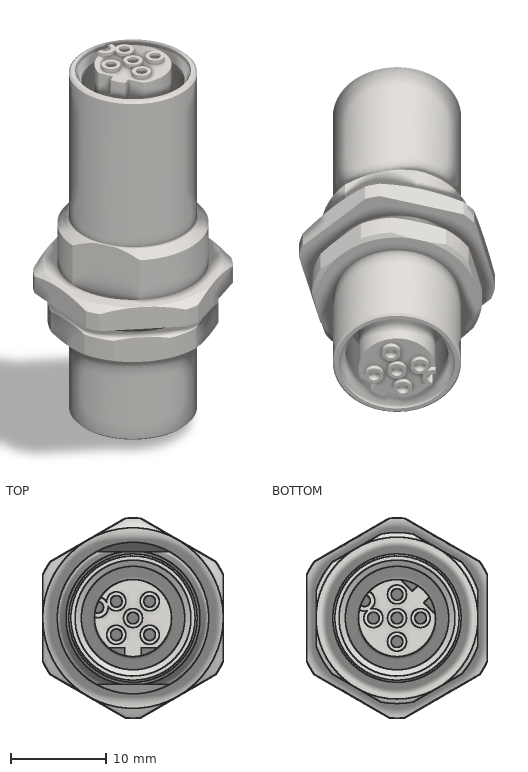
import cadquery as cq
import math

TOTAL_HEIGHT = 43.6
SOCKET_OVERHANG = 1.25
SLEEVE_BOTTOM = SOCKET_OVERHANG
SLEEVE_TOP = TOTAL_HEIGHT - SOCKET_OVERHANG
NUT_BOTTOM = 11.8
NUT_TOP = 14.8
FLANGE_BOTTOM = 16.4
FLANGE_TOP = 19.05
COLLAR_TOP = 24.75

SLEEVE_RADIUS = 13.5 / 2
SLEEVE_CHAMFER = 0.2
MOUTH_RADIUS = 12.2 / 2
MOUTH_DEPTH = 0.45
BORE_RADIUS = 10.9 / 2
CONE_DEPTH = MOUTH_RADIUS - BORE_RADIUS
RECESS_DEPTH = 7.85

INSERT_RADIUS = 8.1 / 2
FOOT_FILLET = 0.3
SOCKET_RISE = 0.52
LOWER_TURN = 45.0
SOCKET_RADIUS = 2.0 / 2
SOCKET_HOLE_RADIUS = 1.2 / 2
SOCKET_PITCH_RADIUS = 2.5
KEY_CENTRE_RADIUS = 3.9
KEY_ANGLE = 163.0
KEY_WALL_RADIUS = 1.1
TAB_WIDTH = 1.7
NOTCH_DISTANCE = 3.15

COLLAR_RADIUS = 15.95 / 2
COLLAR_CHAMFER = 0.9
COLLAR_ACROSS_FLATS = 13.95
RELIEF_DEPTH = COLLAR_RADIUS - COLLAR_ACROSS_FLATS / 2

SEAL_OUTER_RADIUS = COLLAR_RADIUS
SEAL_SECTION_RADIUS = 1.0

BEVEL_ANGLE = 30.0
FLANGE_ACROSS_FLATS = 19.0
FLANGE_CORNER_RADIUS = 21.1 / 2
NUT_ACROSS_FLATS = 17.0
NUT_CORNER_RADIUS = 18.0 / 2
NUT_TOP_BEVEL = 0.45
NUT_BOTTOM_BEVEL = 0.5


def polar_point(radius, degrees):
    angle = math.radians(degrees)
    return (radius * math.cos(angle), radius * math.sin(angle))


def cylinder(radius, bottom, top):
    return cq.Workplane("XY").workplane(offset=bottom).circle(radius).extrude(top - bottom)


def revolve_profile(points):
    """Solid of revolution about Z from (radius, height) points."""
    return cq.Workplane("XZ").polyline(points).close().revolve(360, (0, 0), (0, 1))


def bevelled_hexagon(across_flats, corner_radius, bottom, top, bottom_bevel, top_bevel):
    """Hexagon with flats facing +X and -X, inside a turned blank with bevelled rims."""
    slope = math.tan(math.radians(BEVEL_ANGLE))
    profile = [(0, bottom), (corner_radius - bottom_bevel, bottom)]
    if bottom_bevel:
        profile.append((corner_radius, bottom + bottom_bevel * slope))
    profile += [
        (corner_radius, top - top_bevel * slope),
        (corner_radius - top_bevel, top),
        (0, top),
    ]
    prism = (
        cq.Workplane("XY")
        .workplane(offset=bottom)
        .polygon(6, across_flats, circumscribed=True)
        .extrude(top - bottom)
    )
    return prism.intersect(revolve_profile(profile))


def make_sleeve():
    return cylinder(SLEEVE_RADIUS, SLEEVE_BOTTOM, SLEEVE_TOP).edges().chamfer(SLEEVE_CHAMFER)


def between_flats():
    """Slab as wide as the collar is across its flats."""
    return cq.Workplane("XY").box(2 * COLLAR_RADIUS, COLLAR_ACROSS_FLATS, 2 * TOTAL_HEIGHT)


def make_collar():
    collar = cylinder(COLLAR_RADIUS, FLANGE_TOP, COLLAR_TOP).faces(">Z").chamfer(COLLAR_CHAMFER)
    return collar.intersect(between_flats())


def make_flange():
    """Hexagonal flange with a conical relief at the foot of each collar flat."""
    bevel = FLANGE_CORNER_RADIUS - FLANGE_ACROSS_FLATS / 2
    flange = bevelled_hexagon(
        FLANGE_ACROSS_FLATS, FLANGE_CORNER_RADIUS, FLANGE_BOTTOM, FLANGE_TOP, 0, bevel
    )
    relief_bottom = FLANGE_TOP - RELIEF_DEPTH
    relief = revolve_profile([
        (0, relief_bottom),
        (COLLAR_ACROSS_FLATS / 2, relief_bottom),
        (COLLAR_RADIUS, FLANGE_TOP),
        (0, FLANGE_TOP),
    ])
    return flange.cut(relief.cut(between_flats()))


def make_seal():
    """Sealing ring of round section that rests on the nut and sinks into the flange."""
    centre_radius = SEAL_OUTER_RADIUS - SEAL_SECTION_RADIUS
    return (
        cq.Workplane("ZX")
        .center(NUT_TOP + SEAL_SECTION_RADIUS, centre_radius)
        .circle(SEAL_SECTION_RADIUS)
        .revolve(360, (0, -centre_radius), (1, -centre_radius))
    )


def make_recess():
    """Stepped cavity below the sleeve rim, with the rim at Z = 0."""
    bore_start = -MOUTH_DEPTH - CONE_DEPTH
    return revolve_profile([
        (0, 0),
        (MOUTH_RADIUS, 0),
        (MOUTH_RADIUS, -MOUTH_DEPTH),
        (BORE_RADIUS, bore_start),
        (BORE_RADIUS, -RECESS_DEPTH),
        (0, -RECESS_DEPTH),
    ])


def make_insert():
    """Contact insert on the recess floor, with the sleeve rim at Z = 0."""
    face = SOCKET_OVERHANG - SOCKET_RISE
    foot_top = FOOT_FILLET - RECESS_DEPTH
    foot_radius = INSERT_RADIUS + FOOT_FILLET
    midpoint_offset = FOOT_FILLET * math.sqrt(0.5)
    insert = (
        cq.Workplane("XZ")
        .moveTo(0, -RECESS_DEPTH)
        .lineTo(foot_radius, -RECESS_DEPTH)
        .threePointArc(
            (foot_radius - midpoint_offset, foot_top - midpoint_offset),
            (INSERT_RADIUS, foot_top),
        )
        .lineTo(INSERT_RADIUS, face)
        .lineTo(0, face)
        .close()
        .revolve(360, (0, 0), (0, 1))
    )

    notch_width = INSERT_RADIUS - TAB_WIDTH / 2
    notch_length = INSERT_RADIUS - NOTCH_DISTANCE
    for side in (-1, 1):
        notch = (
            cq.Workplane("XY")
            .workplane(offset=foot_top)
            .center(side * (TAB_WIDTH + notch_width) / 2, -NOTCH_DISTANCE - notch_length / 2)
            .rect(notch_width, notch_length)
            .extrude(face - foot_top)
        )
        insert = insert.cut(notch)

    key_centre = polar_point(KEY_CENTRE_RADIUS, KEY_ANGLE)
    socket_centres = [(0, 0)]
    for degrees in range(45, 360, 90):
        socket_centres.append(polar_point(SOCKET_PITCH_RADIUS, degrees))
    for centre in socket_centres:
        insert = insert.union(cylinder(SOCKET_RADIUS, face, SOCKET_OVERHANG).translate((*centre, 0)))
    key_wall = cylinder(KEY_WALL_RADIUS, face, SOCKET_OVERHANG).translate((*key_centre, 0))
    insert = insert.union(key_wall.intersect(cylinder(INSERT_RADIUS, face, SOCKET_OVERHANG)))
    for centre in [*socket_centres, key_centre]:
        insert = insert.cut(cylinder(SOCKET_HOLE_RADIUS, foot_top, SOCKET_OVERHANG).translate((*centre, 0)))
    return insert


def make_housing():
    housing = make_sleeve().union(make_collar()).union(make_flange()).union(make_seal())

    upper_recess = make_recess().translate((0, 0, SLEEVE_TOP))
    upper_insert = make_insert().translate((0, 0, SLEEVE_TOP))
    housing = housing.cut(upper_recess).union(upper_insert)

    lower_recess = make_recess().mirror("XY").translate((0, 0, SLEEVE_BOTTOM))
    lower_insert = (
        make_insert()
        .mirror("XY")
        .rotate((0, 0, 0), (0, 0, 1), LOWER_TURN)
        .translate((0, 0, SLEEVE_BOTTOM))
    )
    return housing.cut(lower_recess).union(lower_insert)


def make_nut():
    blank = bevelled_hexagon(
        NUT_ACROSS_FLATS, NUT_CORNER_RADIUS, NUT_BOTTOM, NUT_TOP, NUT_BOTTOM_BEVEL, NUT_TOP_BEVEL
    )
    return blank.cut(cylinder(SLEEVE_RADIUS, NUT_BOTTOM, NUT_TOP))


housing = make_housing()
nut = make_nut()
result = cq.Compound.makeCompound([housing.val(), nut.val()])